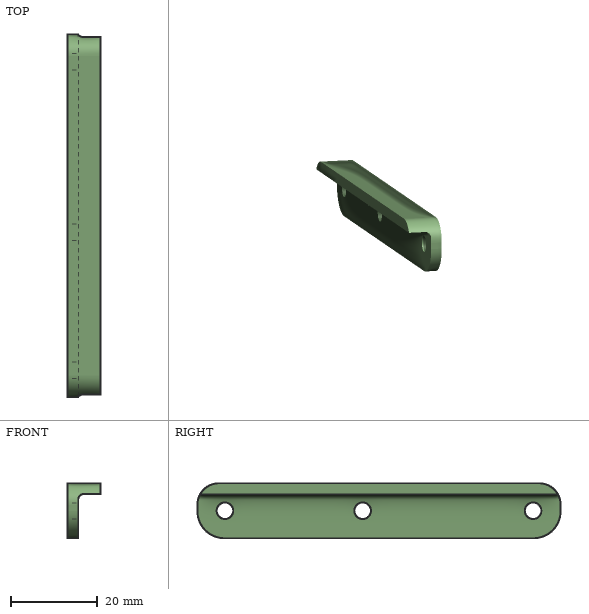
import cadquery as cq

length = 83.8
flange_width = 7.6
height = 12.7
thickness = 2.5

top_radius = 5.0
bottom_radius = 6.3
inside_fillet = 1.25

hole_diameter = 3.8
end_hole_inset = 6.4
middle_hole_y = -3.8
hole_z = height / 2

half_length = length / 2


def angle_section():
    """L-shaped bar with the flange along its top and a filleted inside corner."""
    web = cq.Workplane("XY").box(thickness, length, height, centered=(False, True, False))
    flange = (
        cq.Workplane("XY", origin=(0, 0, height - thickness))
        .box(flange_width, length, thickness, centered=(False, True, False))
    )
    inside_corner = cq.selectors.NearestToPointSelector((thickness, 0, height - thickness))
    return web.union(flange).edges("|Y").edges(inside_corner).fillet(inside_fillet)


def rounded_envelope():
    """Block whose lengthwise ends are rounded above and below."""
    block = cq.Workplane("XY").box(flange_width, length, height, centered=(False, True, False))
    block = block.edges("|X and >Z").fillet(top_radius)
    return block.edges("|X and <Z").fillet(bottom_radius)


def mounting_holes():
    """Cylinders that pass through the web along X."""
    end_hole_y = half_length - end_hole_inset
    positions = [(y, hole_z) for y in (-end_hole_y, middle_hole_y, end_hole_y)]
    return (
        cq.Workplane("YZ")
        .pushPoints(positions)
        .circle(hole_diameter / 2)
        .extrude(thickness)
    )


result = angle_section().intersect(rounded_envelope()).cut(mounting_holes())